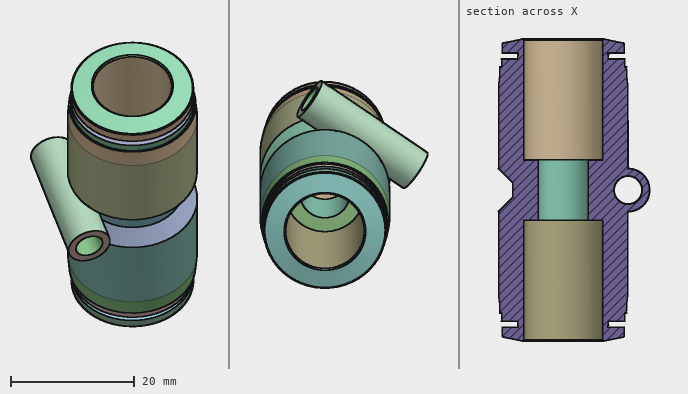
import cadquery as cq

total_length = 48.9
half_length = total_length / 2
body_diameter = 21.0
body_radius = body_diameter / 2

collar_radius = 19.8 / 2
collar_rim_radius = 9.75
collar_cone_depth = 0.65
collar_rim_depth = 0.8
collar_depth = 2.3
neck_radius = 14.7 / 2
undercut_radius = 7.3
undercut_depth = 2.6
neck_depth = 3.25

end_band_radius = 20.0 / 2
end_band_depth = 4.55
taper_start_radius = 10.25
taper_depth = 7.6

waist_half_width = 3.4
waist_cut = 2.3
waist_radius = body_radius - waist_cut
waist_floor_half_width = waist_half_width - waist_cut

socket_radius = 12.7 / 2
socket_depth = 19.55
socket_chamfer = 0.25
passage_radius = 8.0 / 2

tube_diameter = 7.0
tube_bore_diameter = 4.5
tube_length = body_diameter


def make_body():
    """Revolve the solid outline of the body and both release collars."""
    socket_mouth_radius = socket_radius + socket_chamfer
    upper_outline = [
        (waist_radius, waist_floor_half_width),
        (body_radius, waist_half_width),
        (body_radius, half_length - taper_depth),
        (taper_start_radius, half_length - end_band_depth),
        (end_band_radius, half_length - end_band_depth),
        (end_band_radius, half_length - neck_depth),
        (neck_radius, half_length - neck_depth),
        (neck_radius, half_length - undercut_depth),
        (undercut_radius, half_length - undercut_depth),
        (undercut_radius, half_length - collar_depth),
        (collar_radius, half_length - collar_depth),
        (collar_radius, half_length - collar_rim_depth),
        (collar_rim_radius, half_length - collar_cone_depth),
        (socket_mouth_radius, half_length),
        (0, half_length),
    ]
    lower_outline = [(radius, -height) for radius, height in reversed(upper_outline)]
    profile = cq.Workplane("XZ").polyline(lower_outline + upper_outline).close()
    return profile.revolve(360, (0, 0, 0), (0, 1, 0))


def make_cavity():
    """Revolve the two chamfered sockets and the passage between them."""
    floor_height = half_length - socket_depth
    upper_outline = [
        (passage_radius, floor_height),
        (socket_radius, floor_height),
        (socket_radius, half_length - socket_chamfer),
        (socket_radius + socket_chamfer, half_length),
        (0, half_length),
    ]
    lower_outline = [(radius, -height) for radius, height in reversed(upper_outline)]
    profile = cq.Workplane("XZ").polyline(lower_outline + upper_outline).close()
    return profile.revolve(360, (0, 0, 0), (0, 1, 0))


def make_cross_cylinder(diameter):
    """Cylinder along X on the axis of the cross tube."""
    return (
        cq.Workplane("YZ", origin=(-tube_length / 2, 0, 0))
        .center(-body_radius, 0)
        .circle(diameter / 2)
        .extrude(tube_length)
    )


body = make_body().union(make_cross_cylinder(tube_diameter))
result = body.cut(make_cavity()).cut(make_cross_cylinder(tube_bore_diameter))